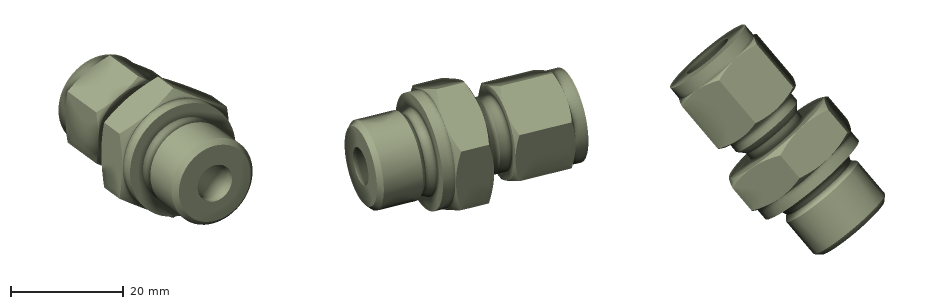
import cadquery as cq
import math


collar_end = 2.45
nut_end = 14.15
shank_end = 16.45
shank_taper_end = 17.78
body_start = 19.25
body_end = 26.7
washer_end = 29.1
undercut_bottom = 30.95
thread_start = 31.88
overall_length = 40.4

nut_flats = 17.45
body_flats = 22.2
hex_chamfer_angle = 30.0
body_chamfer_diameter = 22.05

collar_diameter = nut_flats
shank_diameter = 14.25
neck_diameter = 11.88
washer_diameter = 21.8
undercut_cone_diameter = 16.5
thread_diameter = 16.7
thread_root_diameter = 14.95

thread_chamfer = 0.93

bore_diameter = 7.1
tube_socket_diameter = 9.55
tube_socket_depth = 16.8


def revolve_about_x(outline):
    """Solid of revolution from (x, radius) points, closed along the X axis."""
    start_x = outline[0][0]
    end_x = outline[-1][0]
    points = [(start_x, 0)] + outline + [(end_x, 0)]
    return cq.Workplane("XZ").polyline(points).close().revolve(360, (0, 0, 0), (1, 0, 0))


def cylinder(start_x, end_x, diameter):
    """Cylinder along X."""
    return revolve_about_x([(start_x, diameter / 2), (end_x, diameter / 2)])


def chamfered_hex(start_x, end_x, flats, chamfer_diameter):
    """Hex prism along X whose corners are coned off at both ends."""
    corner_radius = flats / math.sqrt(3)
    chamfer_radius = chamfer_diameter / 2
    chamfer_length = (corner_radius - chamfer_radius) * math.tan(math.radians(hex_chamfer_angle))
    corners = [
        (corner_radius * math.sin(math.radians(60 * i)), corner_radius * math.cos(math.radians(60 * i)))
        for i in range(6)
    ]
    prism = (
        cq.Workplane("YZ", origin=(start_x, 0, 0))
        .polyline(corners)
        .close()
        .extrude(end_x - start_x)
    )
    envelope = revolve_about_x([
        (start_x, chamfer_radius),
        (start_x + chamfer_length, corner_radius),
        (end_x - chamfer_length, corner_radius),
        (end_x, chamfer_radius),
    ])
    return prism.intersect(envelope)


core = revolve_about_x([
    (0, collar_diameter / 2),
    (collar_end, collar_diameter / 2),
    (collar_end, shank_diameter / 2),
    (shank_end, shank_diameter / 2),
    (shank_taper_end, neck_diameter / 2),
    (body_end, neck_diameter / 2),
    (body_end, washer_diameter / 2),
    (washer_end, washer_diameter / 2),
    (washer_end, undercut_cone_diameter / 2),
    (undercut_bottom, thread_root_diameter / 2),
    (thread_start, thread_diameter / 2),
    (overall_length - thread_chamfer, thread_diameter / 2),
    (overall_length, thread_diameter / 2 - thread_chamfer),
])

nut_hex = chamfered_hex(collar_end, nut_end, nut_flats, collar_diameter)
body_hex = chamfered_hex(body_start, body_end, body_flats, body_chamfer_diameter)

bore = cylinder(0, overall_length, bore_diameter)
tube_socket = cylinder(0, tube_socket_depth, tube_socket_diameter)

result = core.union(nut_hex).union(body_hex).cut(bore).cut(tube_socket)